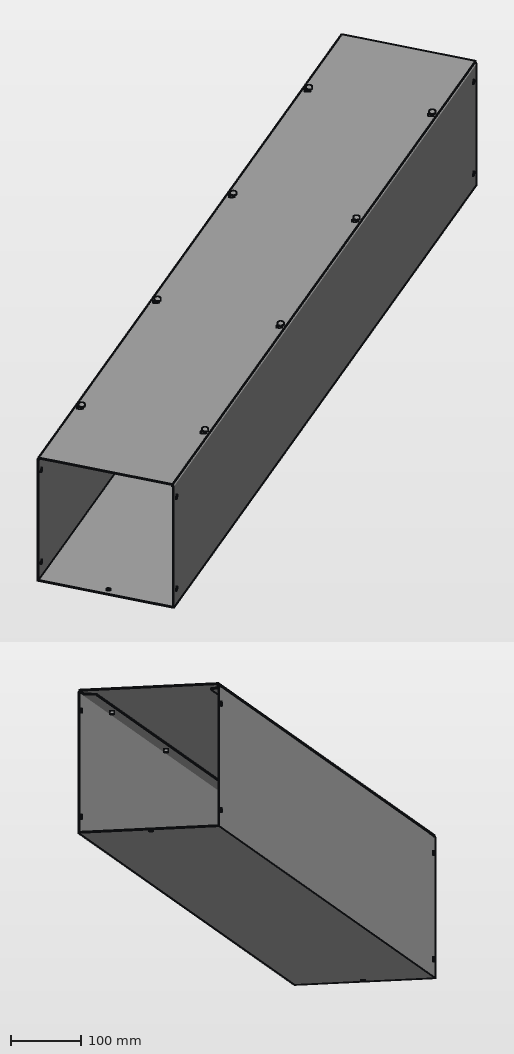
import cadquery as cq

lid_length = 1219.0
channel_length = 1218.0
channel_width = 207.0
lid_top = 207.0
overall_height = 211.0
sheet = 2.0
bend_radius = 2.9
channel_height = lid_top - sheet

lip_width = 20.0
lip_setback = 20.0
lip_bevel = 6.0
lid_width = 204.0

screw_inset = 10.0
screws_per_side = 4
screw_pitch = lid_length / screws_per_side
head_diameter = 10.0
head_rounding = 2.0
shank_diameter = 6.3
shank_bottom = 199.0
keyhole_opening = 9.1
keyhole_travel = 6.0

hole_diameter = 6.8
hole_end_inset = 12.0
side_hole_spacing = 154.0
side_hole_middle = 102.0
hole_end_y = lid_length / 2 - hole_end_inset

screw_x = channel_width / 2 - screw_inset
screw_points = [
    (side * screw_x, (row - (screws_per_side - 1) / 2) * screw_pitch)
    for side in (-1, 1)
    for row in range(screws_per_side)
]


def long_block(width, length, height, base):
    """Block centred in X and Y, standing on the height `base`."""
    block = cq.Workplane("XY").box(width, length, height, centered=(True, True, False))
    return block.translate((0, 0, base))


def drill_down(points, diameter):
    """Round cutters reaching from below the lips to above the lid."""
    start = channel_height - 2 * sheet
    plane = cq.Workplane("XY").workplane(offset=start)
    return plane.pushPoints(points).circle(diameter / 2).extrude(overall_height - start)


def lip_mouth():
    """Opening between the lips, widened at both ends where the lips stop short."""
    tip_x = channel_width / 2 - lip_width
    root_x = channel_width / 2 - bend_radius
    end_y = channel_length / 2
    root_y = end_y - lip_setback
    tip_y = root_y - lip_bevel
    quarter = [(root_x, end_y), (root_x, root_y), (tip_x, tip_y)]
    right_side = quarter + [(x, -y) for x, y in reversed(quarter)]
    left_side = [(-x, -y) for x, y in right_side]
    plane = cq.Workplane("XY").workplane(offset=channel_height - sheet)
    return plane.polyline(right_side + left_side).close().extrude(sheet)


def make_channel():
    outer = long_block(channel_width, channel_length, channel_height, 0)
    outer = outer.edges("|Y and >Z").fillet(bend_radius)
    bore = long_block(channel_width - 2 * sheet, channel_length, channel_height - 2 * sheet, sheet)
    bore = bore.edges("|Y and >Z").fillet(bend_radius - sheet)
    channel = outer.cut(bore).cut(lip_mouth())

    side_hole_points = [
        (end * hole_end_y, side_hole_middle + level * side_hole_spacing / 2)
        for end in (-1, 1)
        for level in (-1, 1)
    ]
    side_holes = cq.Workplane("YZ").pushPoints(side_hole_points).circle(hole_diameter / 2)
    floor_hole_points = [(0, -hole_end_y), (0, hole_end_y)]
    floor_holes = cq.Workplane("XY").pushPoints(floor_hole_points).circle(hole_diameter / 2)

    channel = channel.cut(side_holes.extrude(channel_width, both=True))
    channel = channel.cut(floor_holes.extrude(sheet))
    return channel.cut(drill_down(screw_points, shank_diameter))


def make_lid():
    lid = long_block(lid_width, lid_length, sheet, channel_height)
    slot_points = [(x, y - keyhole_travel / 2) for x, y in screw_points]
    opening_points = [(x, y - keyhole_travel) for x, y in screw_points]
    slots = (
        cq.Workplane("XY")
        .workplane(offset=channel_height)
        .pushPoints(slot_points)
        .slot2D(keyhole_travel + shank_diameter, shank_diameter, 90)
        .extrude(sheet)
    )
    return lid.cut(slots).cut(drill_down(opening_points, keyhole_opening))


def make_screw(x, y):
    shank = cq.Workplane("XY").workplane(offset=shank_bottom).center(x, y)
    shank = shank.circle(shank_diameter / 2).extrude(lid_top - shank_bottom)
    head = cq.Workplane("XY").workplane(offset=lid_top).center(x, y)
    head = head.circle(head_diameter / 2).extrude(overall_height - lid_top)
    head = head.faces(">Z").edges().fillet(head_rounding)
    return shank.union(head)


channel = make_channel()
lid = make_lid()
screws = [make_screw(x, y).val() for x, y in screw_points]
result = cq.Compound.makeCompound([channel.val(), lid.val(), *screws])